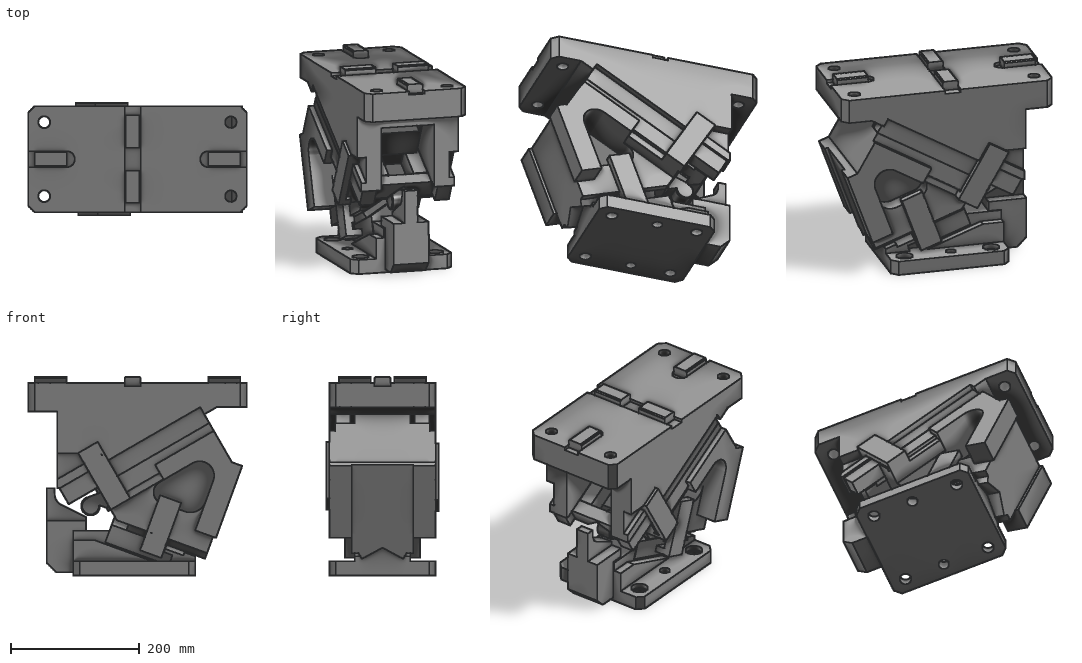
import cadquery as cq
import math

UPPER_ANGLE = math.radians(30)
LOWER_ANGLE = math.radians(20)
ROOF_SLOPE = math.tan(math.radians(30))


def on_upper(s, n):
    """XZ point at distance s along the upper slide and n square to it."""
    return (s * math.cos(UPPER_ANGLE) - n * math.sin(UPPER_ANGLE),
            s * math.sin(UPPER_ANGLE) + n * math.cos(UPPER_ANGLE))


def on_lower(t, m):
    """XZ point at distance t along the lower slide and m square to it."""
    return (t * math.cos(LOWER_ANGLE) + m * math.sin(LOWER_ANGLE),
            m * math.cos(LOWER_ANGLE) - t * math.sin(LOWER_ANGLE))


NORMALS = {"s": on_upper(1, 0), "n": on_upper(0, 1), "t": on_lower(1, 0), "m": on_lower(0, 1),
           "x": (1, 0), "z": (0, 1)}


def cross(kind_a, value_a, kind_b, value_b):
    """XZ point where two lines meet, each given by its direction name and distance."""
    ax, az = NORMALS[kind_a]
    bx, bz = NORMALS[kind_b]
    det = ax * bz - az * bx
    return ((value_a * bz - value_b * az) / det, (ax * value_b - bx * value_a) / det)


def prism(points, y_from, y_to):
    """Straight-sided XZ outline extruded between two Y positions."""
    return cq.Workplane("XZ", origin=(0, y_from, 0)).polyline(points).close().extrude(y_from - y_to)


def side_prism(points, side, inner, outer):
    """Same outline on the +Y (side = 1) or -Y (side = -1) flank."""
    low, high = sorted((side * inner, side * outer))
    return prism(points, low, high)


def slide_box(s_from, s_to, n_from, n_to):
    return [on_upper(s_from, n_from), on_upper(s_to, n_from), on_upper(s_to, n_to), on_upper(s_from, n_to)]


def lower_box(t_from, t_to, m_from, m_to):
    return [on_lower(t_from, m_from), on_lower(t_to, m_from), on_lower(t_to, m_to), on_lower(t_from, m_to)]


def lower_bar(section, t_from, t_to):
    """Section of (y, m) points extruded along the lower slide."""
    plane = cq.Plane(origin=(0, 0, 0), xDir=(0, 1, 0), normal=(NORMALS["t"][0], 0, NORMALS["t"][1]))
    return cq.Workplane(plane).workplane(offset=t_from).polyline(section).close().extrude(t_to - t_from)


SIDES = (1, -1)
BODY_HALF = 82.5
CORNER_CHAMFER = 10

SLIDE_END = 362.5
SLIDER_START = SLIDE_END - 200
SEAT_N = 93
SLIDER_TOP_N = 64.5
RIDGE_HALF = 43
RAIL_INNER, RAIL_OUTER = 50, 73
LEDGE_N, LEDGE_HALF = 107, 76
WEB_HALF = 68

GIB_WIDTH = 35
GIB_TOP_N, GIB_BOTTOM_N = 126, 24.5
GIB_OUTER = 87.5
GIB_START = {1: SLIDER_START - 4.5, -1: SLIDER_START}

ROOF_HALF, ROOF_EDGE_M = 32, 118.5
ROOF_APEX_M = ROOF_EDGE_M + ROOF_HALF * ROOF_SLOPE


def round_edge(body, corner, side, radius):
    """Round the Y edge of a flank body that lies nearest to an XZ corner."""
    near = cq.selectors.NearestToPointSelector((corner[0], side * BODY_HALF / 2, corner[1]))
    return body.edges("|Y").edges(near).fillet(radius)


BASE_LENGTH = 340
BASE_TOP = 299.5
PLATE_BOTTOM = 255
TAIL_BOTTOM = 262
FRONT_X = 45
STOP_N = 80
STEP_Z = 190
FRONT_BOTTOM = 136
KEY_TOP = 309
KEY_FLOOR = 294.5
KEY_WIDTH, KEY_LENGTH, KEY_CHAMFER = 25, 50, 2
CROSS_KEY_X = 162.5
CROSS_KEY_Y = 43
END_KEY_INSET = 10
END_SLOT_LENGTH = 72.5
BASE_HOLE_DIAMETER = 18
BASE_HOLE_INSET, BASE_HOLE_Y = 25, 57.5
CAVITY_HALF, CAVITY_TOP = 43.5, 235
RAIL_START = 110
BLOCK_START, BLOCK_HALF = 191, 38.5
NOTCH_HALF, NOTCH_FLOOR_N = 35.5, 138


def make_key(x, y, along_x):
    length_x, length_y = (KEY_LENGTH, KEY_WIDTH) if along_x else (KEY_WIDTH, KEY_LENGTH)
    key = cq.Workplane("XY", origin=(x, y, KEY_FLOOR)).rect(length_x, length_y).extrude(KEY_TOP - KEY_FLOOR)
    return key.faces(">Z").edges("|X" if along_x else "|Y").chamfer(KEY_CHAMFER)


def make_base():
    outline = [
        (0, BASE_TOP), (0, PLATE_BOTTOM), (FRONT_X, PLATE_BOTTOM), (FRONT_X, FRONT_BOTTOM),
        cross("z", FRONT_BOTTOM, "n", SEAT_N),
        on_upper(SLIDE_END, SEAT_N), on_upper(SLIDE_END, STOP_N), cross("n", STOP_N, "z", TAIL_BOTTOM),
        (BASE_LENGTH, TAIL_BOTTOM), (BASE_LENGTH, BASE_TOP),
    ]
    base = prism(outline, -BODY_HALF, BODY_HALF)
    corners = cq.selectors.BoxSelector((-1, -BODY_HALF - 1, 0), (1, BODY_HALF + 1, BASE_TOP))
    base = base.edges("|Z").edges(corners).chamfer(CORNER_CHAMFER)
    base = base.edges("|Z").edges(">X").chamfer(CORNER_CHAMFER)

    cavity = [(FRONT_X, 0), (FRONT_X, CAVITY_TOP), cross("z", CAVITY_TOP, "n", SEAT_N), on_upper(0, SEAT_N)]
    base = base.cut(prism(cavity, -CAVITY_HALF, CAVITY_HALF))
    block = prism([on_upper(BLOCK_START, SEAT_N), cross("n", SEAT_N, "z", CAVITY_TOP),
                   cross("s", BLOCK_START, "z", CAVITY_TOP)], -BLOCK_HALF, BLOCK_HALF)
    notch = prism([on_upper(BLOCK_START, NOTCH_FLOOR_N), cross("n", NOTCH_FLOOR_N, "z", CAVITY_TOP),
                   cross("s", BLOCK_START, "z", CAVITY_TOP)], -NOTCH_HALF, NOTCH_HALF)
    base = base.union(block.cut(notch))

    for side in SIDES:
        gib_end = GIB_START[side] + GIB_WIDTH
        upper_edge = [cross("z", STEP_Z, "n", GIB_TOP_N), on_upper(gib_end, GIB_TOP_N)]
        recess = [(0, STEP_Z)] + upper_edge + [on_upper(gib_end, 0), (0, 0)]
        ledge_side = [on_upper(0, LEDGE_N), on_upper(gib_end, LEDGE_N), on_upper(gib_end, 0), on_upper(0, 0)]
        base = base.cut(side_prism(recess, side, LEDGE_HALF, BODY_HALF))
        base = base.cut(side_prism(recess, side, WEB_HALF, LEDGE_HALF)
                        .cut(side_prism(ledge_side, side, WEB_HALF, LEDGE_HALF)))
        rail = slide_box(RAIL_START, SLIDE_END, SLIDER_TOP_N, SEAT_N)
        base = base.union(side_prism(rail, side, RAIL_INNER, RAIL_OUTER))

    floor = cq.Workplane("XY", origin=(0, 0, KEY_FLOOR))
    depth = KEY_TOP - KEY_FLOOR
    base = base.cut(floor.center(CROSS_KEY_X, 0).rect(KEY_WIDTH, 2 * BODY_HALF).extrude(depth))
    key_x = END_KEY_INSET + KEY_LENGTH / 2
    for slot_end in (0, BASE_LENGTH):
        base = base.cut(floor.center(slot_end, 0).slot2D(2 * END_SLOT_LENGTH, KEY_WIDTH).extrude(depth))
        base = base.union(make_key(abs(slot_end - key_x), 0, True))
    for side in SIDES:
        base = base.union(make_key(CROSS_KEY_X, side * CROSS_KEY_Y, False))

    holes = [(x, side * BASE_HOLE_Y) for x in (BASE_HOLE_INSET, BASE_LENGTH - BASE_HOLE_INSET) for side in SIDES]
    drill = cq.Workplane("XY", origin=(0, 0, PLATE_BOTTOM)).pushPoints(holes)
    return base.cut(drill.circle(BASE_HOLE_DIAMETER / 2).extrude(BASE_TOP - PLATE_BOTTOM))


CORE_HALF = 48
CORE_BOTTOM_M = 128
CORE_END_T = 249.5
SHOULDER_M = 274
FLANGE_HALF, FLANGE_BOTTOM_N = 73.5, 36
GIB_INNER = LEDGE_HALF + 1
GIB_LIP = 10
HOOK_START_S, HOOK_TOP_N, HOOK_LOWER_N = 257, 50.5, 23.6
LEG_INNER_T, LEG_OUTER_T, LEG_BOTTOM_M = 220, 254.5, 154.8
WINDOW_RADIUS = 22.5
POCKET_BOTTOM_M, POCKET_FRONT_RADIUS, POCKET_REAR_RADIUS, POCKET_DEPTH = 177, 17.5, 25, 30
CROSSBAR_START, RIDGE_START = 123.5, 144.5
CROSSBAR_TOP_N = 91.5
SPRING_SLOT_HALF, SPRING_SLOT_END = 20.5, 200
LINER_START_T, LINER_HALF = 119.5, 37.5
CLAW_START_T, CLAW_WIDTH = 150, 35
CLAW_INNER = 46.5
CLAW_SHOULDER_M, CLAW_SHOULDER_INNER = 117, 42.5
CLAW_TOP_M, CLAW_BOTTOM_M, CLAW_OUTER, CLAW_LIP = 187.5, 96.5, 58.5, 10
FINGER_HALF, FINGER_RADIUS, FINGER_CHAMFER = 13, 14.5, 1.5
FINGER_CENTER = (97, 108)
FINGER_RISE = math.radians(20)
FINGER_ARM_BOTTOM_M = 140.5
FINGER_ARM_LENGTH = 34
WINDOW_CORNER = cross("n", HOOK_LOWER_N, "t", LEG_INNER_T)
POCKET_FRONT = cross("n", HOOK_LOWER_N, "m", POCKET_BOTTOM_M)


def make_gib(side):
    start, end = GIB_START[side], GIB_START[side] + GIB_WIDTH
    gib = side_prism(slide_box(start, end, GIB_BOTTOM_N, GIB_TOP_N), side, WEB_HALF, GIB_OUTER)
    throat = slide_box(start, end, GIB_BOTTOM_N + GIB_LIP, LEDGE_N)
    return gib.cut(side_prism(throat, side, WEB_HALF, GIB_INNER))


def make_side_hook(side):
    """J-shaped plate at the rear of the slider."""
    outline = [
        on_upper(HOOK_START_S, HOOK_TOP_N), on_upper(SLIDE_END, HOOK_TOP_N),
        cross("s", SLIDE_END, "m", SHOULDER_M), on_lower(LEG_OUTER_T, SHOULDER_M),
        on_lower(LEG_OUTER_T, LEG_BOTTOM_M), on_lower(LEG_INNER_T, LEG_BOTTOM_M),
        on_upper(HOOK_START_S, HOOK_LOWER_N),
    ]
    window = [WINDOW_CORNER, POCKET_FRONT, on_lower(LEG_INNER_T, LEG_BOTTOM_M)]
    window = round_edge(side_prism(window, side, CORE_HALF, BODY_HALF), WINDOW_CORNER, side, WINDOW_RADIUS)
    return side_prism(outline, side, CORE_HALF, BODY_HALF).cut(window)


def make_side_pocket(side):
    """Three-sided rounded pocket in the flank, below the side hook."""
    rear = on_lower(LEG_INNER_T, POCKET_BOTTOM_M)
    pocket = side_prism([POCKET_FRONT, WINDOW_CORNER, rear], side, CORE_HALF - POCKET_DEPTH, CORE_HALF)
    pocket = round_edge(pocket, WINDOW_CORNER, side, WINDOW_RADIUS)
    pocket = round_edge(pocket, POCKET_FRONT, side, POCKET_FRONT_RADIUS)
    return round_edge(pocket, rear, side, POCKET_REAR_RADIUS)


def make_claw(side):
    """Return claw whose lip reaches in under the hanging edge of the flank."""
    end = CLAW_START_T + CLAW_WIDTH
    claw = side_prism(lower_box(CLAW_START_T, end, CLAW_BOTTOM_M, CLAW_TOP_M), side, CLAW_INNER, CLAW_OUTER)
    lip = lower_box(CLAW_START_T, end, CLAW_BOTTOM_M, CLAW_BOTTOM_M + CLAW_LIP)
    shoulder = lower_box(CLAW_START_T, end, CLAW_SHOULDER_M, CORE_BOTTOM_M)
    claw = claw.union(side_prism(shoulder, side, CLAW_SHOULDER_INNER, CLAW_OUTER))
    return claw.union(side_prism(lip, side, ROOF_HALF, CLAW_OUTER))


def make_finger():
    """Rounded return finger on the front of the slider."""
    cx, cz = FINGER_CENTER
    rise_x, rise_z = math.cos(FINGER_RISE), math.sin(FINGER_RISE)
    top = (cx - FINGER_RADIUS * rise_z, cz + FINGER_RADIUS * rise_x)
    top_end = (top[0] + FINGER_ARM_LENGTH * rise_x, top[1] + FINGER_ARM_LENGTH * rise_z)
    arm = [FINGER_CENTER, top, top_end, cross("x", top_end[0], "m", FINGER_ARM_BOTTOM_M),
           cross("x", cx + FINGER_RADIUS, "m", FINGER_ARM_BOTTOM_M)]
    tip = cq.Workplane("XZ", origin=(cx, -FINGER_HALF, cz)).circle(FINGER_RADIUS).extrude(-2 * FINGER_HALF)
    tip = tip.edges().chamfer(FINGER_CHAMFER)
    return tip.union(prism(arm, -FINGER_HALF, FINGER_HALF))


def make_slider():
    core = [
        on_upper(SLIDER_START, SLIDER_TOP_N), cross("s", SLIDER_START, "m", CORE_BOTTOM_M),
        on_lower(CORE_END_T, CORE_BOTTOM_M), on_lower(CORE_END_T, SHOULDER_M),
        cross("s", SLIDE_END, "m", SHOULDER_M), on_upper(SLIDE_END, SLIDER_TOP_N),
    ]
    slider = prism(core, -CORE_HALF, CORE_HALF)

    for side in SIDES:
        slider = slider.cut(make_side_pocket(side)).union(make_side_hook(side))

    flange = slide_box(SLIDER_START, SLIDE_END, FLANGE_BOTTOM_N, SLIDER_TOP_N)
    slider = slider.union(prism(flange, -FLANGE_HALF, FLANGE_HALF))
    neck = slide_box(SLIDER_START, SLIDE_END, GIB_BOTTOM_N, FLANGE_BOTTOM_N)
    slider = slider.union(prism(neck, -WEB_HALF, WEB_HALF))

    ridge = prism(slide_box(RIDGE_START, SLIDE_END, SLIDER_TOP_N, SEAT_N), -RIDGE_HALF, RIDGE_HALF)
    slot = slide_box(RIDGE_START, SPRING_SLOT_END, SLIDER_TOP_N, SEAT_N)
    ridge = ridge.cut(prism(slot, -SPRING_SLOT_HALF, SPRING_SLOT_HALF))
    crossbar = slide_box(CROSSBAR_START, RIDGE_START, SLIDER_TOP_N, CROSSBAR_TOP_N)
    slider = slider.union(ridge).union(prism(crossbar, -CORE_HALF, CORE_HALF))

    open_v = [(-LINER_HALF, CORE_BOTTOM_M), (0, CORE_BOTTOM_M + LINER_HALF * ROOF_SLOPE),
              (LINER_HALF, CORE_BOTTOM_M)]
    slider = slider.cut(lower_bar(open_v, 0, LINER_START_T))
    liner = [(-LINER_HALF, CORE_BOTTOM_M), (-ROOF_HALF, ROOF_EDGE_M), (ROOF_HALF, ROOF_EDGE_M),
             (LINER_HALF, CORE_BOTTOM_M)]
    slider = slider.union(lower_bar(liner, LINER_START_T, CORE_END_T))
    lined_v = [(-ROOF_HALF, ROOF_EDGE_M), (0, ROOF_APEX_M), (ROOF_HALF, ROOF_EDGE_M)]
    slider = slider.cut(lower_bar(lined_v, LINER_START_T, CORE_END_T))

    slider = slider.union(make_finger())
    for side in SIDES:
        slider = slider.union(make_claw(side)).union(make_gib(side))
    return slider


DRIVER_START, DRIVER_END = 70, 260
PLATE_TOP = 22.5
BLOCK_TOP, BLOCK_HALF_WIDTH = 55, 43.5
BLOCK_SLOPE_M = 87
WALL_TOP, WALL_HALF = 70, 31
ROOF_START_T, ROOF_LIP_END_T, ROOF_BOTTOM_M = 95, 216, 89.5
TAIL_START_T, TAIL_SLOT_END_T, TAIL_SLOT_TOP_M, TAIL_TOP_M = 186, 200, 106.5, 117
BUMPER_START, BUMPER_END = 28.7, 90
BUMPER_BOTTOM, BUMPER_STEP, BUMPER_TOP = 5, 85, 136
BUMPER_CHAMFER = 15
BUMPER_HALF, HORN_HALF = 28.5, 10.7
HORN_END = 41
HOLLOW_START, HOLLOW_MIDDLE, HOLLOW_END = (41.5, 126), (45, 115.5), (54, 109)
HORN_REAR_Z = 91
BOLT_X, DOWEL_X, HOLE_Y = (95, 235), 160, 61
BOLT_DIAMETER, HEAD_DIAMETER, HEAD_DEPTH, DOWEL_DIAMETER = 18, 26, 8, 16


def make_horn():
    """Narrow upper part of the bumper with its hollow rear face."""
    horn = (cq.Workplane("XZ", origin=(0, -HORN_HALF, 0))
            .moveTo(BUMPER_START, BUMPER_STEP).lineTo(BUMPER_START, BUMPER_TOP).lineTo(HORN_END, BUMPER_TOP)
            .lineTo(*HOLLOW_START).threePointArc(HOLLOW_MIDDLE, HOLLOW_END).lineTo(BUMPER_END, HORN_REAR_Z)
            .lineTo(BUMPER_END, BUMPER_STEP).close())
    return horn.extrude(-2 * HORN_HALF)


def roof_bar(half, bottom_m, t_from, t_to):
    """Length of the V roof with vertical flanks."""
    edge_m = ROOF_APEX_M - half * ROOF_SLOPE
    section = [(-half, bottom_m), (-half, edge_m), (0, ROOF_APEX_M), (half, edge_m), (half, bottom_m)]
    return lower_bar(section, t_from, t_to)


def make_driver():
    length = DRIVER_END - DRIVER_START
    center_x = (DRIVER_START + DRIVER_END) / 2
    plate = cq.Workplane("XY", origin=(center_x, 0, 0)).rect(length, 2 * BODY_HALF).extrude(PLATE_TOP)
    plate = plate.edges("|Z").chamfer(CORNER_CHAMFER)
    for side in SIDES:
        y = side * HOLE_Y
        for x in BOLT_X:
            plate = plate.cut(cq.Workplane("XY", origin=(x, y, 0)).circle(BOLT_DIAMETER / 2).extrude(PLATE_TOP))
            head = cq.Workplane("XY", origin=(x, y, PLATE_TOP)).circle(HEAD_DIAMETER / 2).extrude(-HEAD_DEPTH)
            plate = plate.cut(head)
        dowel = cq.Workplane("XY", origin=(DOWEL_X, y, 0)).circle(DOWEL_DIAMETER / 2).extrude(PLATE_TOP)
        plate = plate.cut(dowel)

    block = [(DRIVER_START, 0), (DRIVER_START, BLOCK_TOP), cross("z", BLOCK_TOP, "m", BLOCK_SLOPE_M),
             cross("z", PLATE_TOP, "m", BLOCK_SLOPE_M), cross("z", 0, "m", BLOCK_SLOPE_M)]
    block = prism(block, -BLOCK_HALF_WIDTH, BLOCK_HALF_WIDTH)

    wall = [(DRIVER_START, 0), (DRIVER_START, WALL_TOP), cross("z", WALL_TOP, "t", ROOF_START_T),
            on_lower(ROOF_START_T, ROOF_EDGE_M), cross("x", DRIVER_END, "m", ROOF_EDGE_M), (DRIVER_END, 0)]
    wall = prism(wall, -WALL_HALF, WALL_HALF)

    inside = cq.Workplane("XY", origin=(center_x, 0, 0)).rect(length, 2 * BODY_HALF).extrude(BASE_TOP)
    driver = plate.union(block).union(wall)
    driver = driver.union(roof_bar(ROOF_HALF, ROOF_BOTTOM_M, ROOF_START_T, ROOF_LIP_END_T))
    driver = driver.union(roof_bar(WALL_HALF, ROOF_BOTTOM_M, ROOF_START_T, DRIVER_END).intersect(inside))

    driver = driver.union(roof_bar(BLOCK_HALF_WIDTH, TAIL_SLOT_TOP_M, TAIL_START_T, ROOF_LIP_END_T))
    tail = [on_lower(TAIL_SLOT_END_T, TAIL_SLOT_TOP_M), on_lower(ROOF_LIP_END_T, TAIL_SLOT_TOP_M),
            on_lower(ROOF_LIP_END_T, TAIL_TOP_M), cross("x", DRIVER_END, "m", TAIL_TOP_M),
            (DRIVER_END, 0), cross("t", TAIL_SLOT_END_T, "z", 0)]
    driver = driver.union(prism(tail, -BLOCK_HALF_WIDTH, BLOCK_HALF_WIDTH))

    bumper = prism([(BUMPER_START, BUMPER_BOTTOM + BUMPER_CHAMFER), (BUMPER_START, BUMPER_STEP),
                    (BUMPER_END, BUMPER_STEP), (BUMPER_END, BUMPER_BOTTOM),
                    (BUMPER_START + BUMPER_CHAMFER, BUMPER_BOTTOM)], -BUMPER_HALF, BUMPER_HALF)
    return driver.union(bumper).union(make_horn())


cam_base = make_base()
slider = make_slider()
driver = make_driver()
result = cq.Compound.makeCompound([cam_base.val(), slider.val(), driver.val()])